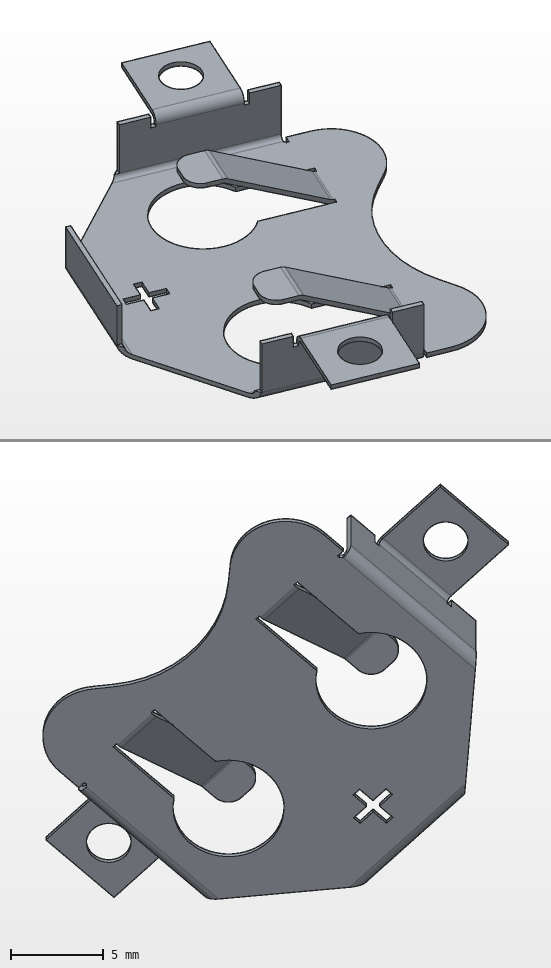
import cadquery as cq
import math

length = 30.5
height = 3.9
thickness = 0.3
outer_bend = 2 * thickness
mid_bend = 1.5 * thickness

half_width = 10.52
back_edge = 9.4
front_edge = -10.4
shoulder_x = half_width - thickness
lobe_radius = 3.0
lobe_x = shoulder_x - lobe_radius
lobe_y = back_edge - lobe_radius
scoop_bottom_y = 6.4
scoop_radius = 7.0

side_bend_x = half_width - outer_bend
front_bend_y = front_edge + outer_bend
slant_side_y = -5.25
slant_front_x = 4.48

wall_half_length = 4.7
relief_width = 0.27
relief_depth_x = 9.8

tab_width = 5.12
tab_hole_diameter = 2.4
tab_hole_x = 13.02
tab_notch_width = 0.3
tab_notch_depth = 0.73

lip_width = 7.47
lip_height = 3.25

finger_x = 5.52
finger_width = 2.68
finger_height = 3.55
finger_root_y = 5.2
finger_crest_y = -0.98
finger_tip_y = -3.02
finger_tip_radius = 1.0
slot_width = 3.2
slot_end_y = 5.4
keyhole_radius = 3.0
keyhole_y = -1.7

cross_y = -7.2
cross_span = 2.5
cross_arm_width = 0.5

lap = 0.6


def box(x_range, y_range, z_range):
    """Box between two limits on each axis."""
    (x0, x1), (y0, y1), (z0, z1) = x_range, y_range, z_range
    return cq.Workplane("XY").box(x1 - x0, y1 - y0, z1 - z0, centered=False).translate((x0, y0, z0))


def bent_strip(middle_points, width):
    """Sheet strip along a mid-surface polyline, its inner corners rounded to bends."""
    points = [cq.Vector(*point) for point in middle_points]
    path = cq.Wire.makePolygon(points)
    path = path.fillet2D(mid_bend, path.Vertices()[1:-1])
    first, last = points[0], points[-1]
    across = (points[1] - first).cross(last - first)
    section = cq.Workplane(cq.Plane(first, across, points[1] - first)).rect(width, thickness)
    return section.sweep(cq.Workplane(path))


def both_sides(right_half):
    return right_half.union(right_half.mirror("YZ"))


def base_plate():
    scoop_y = scoop_bottom_y + scoop_radius
    center_rise = scoop_y - lobe_y
    center_distance = math.hypot(lobe_x, center_rise)
    lean = math.acos((lobe_radius + scoop_radius) / center_distance)
    angle = math.atan2(center_rise, -lobe_x) - lean
    lobe_end_x = lobe_x + lobe_radius * math.cos(angle)
    lobe_end_y = lobe_y + lobe_radius * math.sin(angle)
    scoop_end_x = -scoop_radius * math.cos(angle)
    scoop_end_y = scoop_y - scoop_radius * math.sin(angle)
    crown_x = lobe_x + lobe_radius * math.cos(angle / 2)
    crown_y = lobe_y + lobe_radius * math.sin(angle / 2)
    return (
        cq.Workplane("XY")
        .moveTo(slant_front_x, front_bend_y)
        .lineTo(side_bend_x, slant_side_y)
        .lineTo(side_bend_x, wall_half_length)
        .lineTo(shoulder_x, wall_half_length)
        .lineTo(shoulder_x, lobe_y)
        .threePointArc((crown_x, crown_y), (lobe_end_x, lobe_end_y))
        .lineTo(scoop_end_x, scoop_end_y)
        .threePointArc((0, scoop_bottom_y), (-scoop_end_x, scoop_end_y))
        .lineTo(-lobe_end_x, lobe_end_y)
        .threePointArc((-crown_x, crown_y), (-shoulder_x, lobe_y))
        .lineTo(-shoulder_x, wall_half_length)
        .lineTo(-side_bend_x, wall_half_length)
        .lineTo(-side_bend_x, slant_side_y)
        .lineTo(-slant_front_x, front_bend_y)
        .close()
        .extrude(thickness)
    )


def relief_slot():
    back_y = wall_half_length + relief_width
    outline = [
        (half_width, back_y),
        (relief_depth_x, back_y),
        (relief_depth_x, wall_half_length + relief_width / 2),
        (side_bend_x, wall_half_length),
        (half_width, wall_half_length),
    ]
    return cq.Workplane("XY").polyline(outline).close().extrude(thickness)


def slanted_corner_waste():
    """Everything in front of the slanted edge of the plate."""
    slope = (front_bend_y - slant_side_y) / (slant_front_x - side_bend_x)
    start_x = slant_front_x - outer_bend / slope
    end_y = slant_side_y + outer_bend * slope
    outline = [(start_x, front_edge), (half_width, end_y), (half_width, front_edge)]
    return cq.Workplane("XY").polyline(outline).close().extrude(height)


def side_wall():
    middle_x = half_width - thickness / 2
    middle_z = thickness / 2
    front_y = slant_side_y
    strip = [(side_bend_x - lap, 0, middle_z), (middle_x, 0, middle_z), (middle_x, 0, height)]
    wall = bent_strip(strip, wall_half_length - front_y)
    wall = wall.translate((0, (wall_half_length + front_y) / 2, 0))
    wall_x = (side_bend_x, half_width)
    square_end = box(wall_x, (front_y, -wall_half_length), (outer_bend, height))
    opening = tab_width / 2 + tab_notch_width
    tab_opening = box(wall_x, (-opening, opening), (height - tab_notch_depth, height))
    return wall.cut(square_end).cut(tab_opening).cut(slanted_corner_waste())


def mounting_tab():
    middle_x = half_width - thickness / 2
    middle_z = height - thickness / 2
    root_z = height - tab_notch_depth - lap
    tab = bent_strip([(middle_x, 0, root_z), (middle_x, 0, middle_z), (length / 2, 0, middle_z)], tab_width)
    hole = cq.Workplane("XY").center(tab_hole_x, 0).circle(tab_hole_diameter / 2).extrude(height)
    return tab.cut(hole)


def front_lip():
    middle_y = front_edge + thickness / 2
    middle_z = thickness / 2
    strip = [(0, front_bend_y + lap, middle_z), (0, middle_y, middle_z), (0, middle_y, lip_height)]
    lip = bent_strip(strip, 2 * slant_front_x)
    square_end = box((lip_width / 2, slant_front_x), (front_edge, front_bend_y), (outer_bend, lip_height))
    return lip.cut(both_sides(square_end)).cut(both_sides(slanted_corner_waste()))


def keyhole():
    slot = box(
        (finger_x - slot_width / 2, finger_x + slot_width / 2),
        (keyhole_y, slot_end_y),
        (0, thickness),
    )
    round_end = cq.Workplane("XY").center(finger_x, keyhole_y).circle(keyhole_radius).extrude(thickness)
    return slot.union(round_end)


def contact_finger():
    low_z = thickness / 2
    high_z = finger_height - thickness / 2
    finger = bent_strip(
        [
            (finger_x, slot_end_y + lap, low_z),
            (finger_x, finger_root_y, low_z),
            (finger_x, finger_crest_y, high_z),
            (finger_x, finger_tip_y, high_z),
        ],
        finger_width,
    )
    return finger.faces("<Y").edges("|Z").fillet(finger_tip_radius)


def polarity_cross():
    arm = cq.Workplane("XY").center(0, cross_y)
    along_x = arm.rect(cross_span, cross_arm_width).extrude(thickness)
    along_y = arm.rect(cross_arm_width, cross_span).extrude(thickness)
    return along_x.union(along_y)


plate = base_plate().cut(both_sides(keyhole())).cut(polarity_cross()).cut(both_sides(relief_slot()))
result = plate.union(front_lip())
for right_half in (side_wall(), mounting_tab(), contact_finger()):
    result = result.union(right_half).union(right_half.mirror("YZ"))